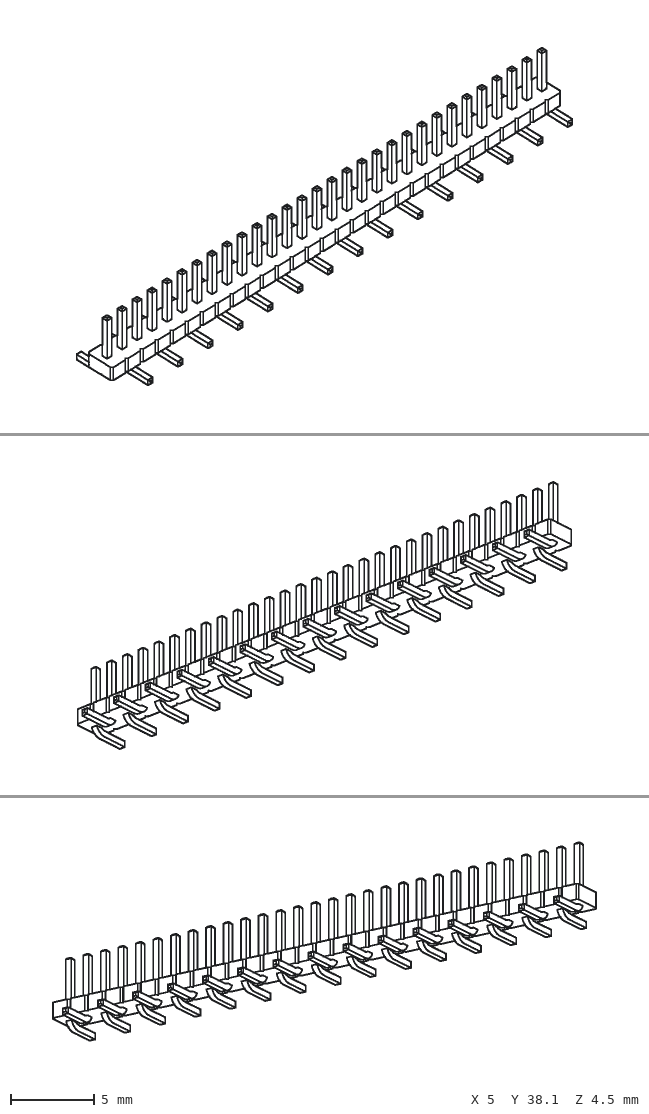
import cadquery as cq

pin_count = 30
pitch = 1.27
row_length = pin_count * pitch

wire = 0.4
half_wire = wire / 2
tip_length = 0.1
tip_width = 0.2
pin_top = 4.5
foot_reach = 2.5
bend_inner_radius = 0.4
bend_outer_radius = bend_inner_radius + wire

body_width = 2.1
body_height = 1.0
body_bottom = 0.5
corner_chamfer = pitch / 10


def make_body_segment():
    """One pitch of the body, with chamfered upright edges that leave V notches between neighbours."""
    return (
        cq.Workplane("XY")
        .workplane(offset=body_bottom)
        .rect(body_width, pitch)
        .extrude(body_height)
        .edges("|Z")
        .chamfer(corner_chamfer)
    )


def make_tip():
    """Tapered wire end that starts at the origin and points along +Z."""
    return (
        cq.Workplane("XY")
        .rect(wire, wire)
        .workplane(offset=tip_length)
        .rect(tip_width, tip_width)
        .loft()
    )


def make_pin():
    """L-shaped wire with an upright post at the origin and a foot that points to -X."""
    post_end = pin_top - tip_length
    foot_end = -(foot_reach - tip_length)
    bend_x = -half_wire - bend_inner_radius
    path = (
        cq.Workplane("XZ")
        .moveTo(foot_end, half_wire)
        .lineTo(bend_x, half_wire)
        .radiusArc((0, bend_outer_radius), -(bend_inner_radius + half_wire))
        .lineTo(0, post_end)
    )
    wire_body = cq.Workplane("YZ", origin=(foot_end, 0, half_wire)).rect(wire, wire).sweep(path)
    post_tip = make_tip().translate((0, 0, post_end))
    foot_tip = make_tip().rotate((0, 0, 0), (0, 1, 0), -90).translate((foot_end, 0, half_wire))
    return wire_body.union(post_tip).union(foot_tip)


segment = make_body_segment()
left_pin = make_pin()
right_pin = left_pin.rotate((0, 0, 0), (0, 0, 1), 180)

first_y = (pitch - row_length) / 2
result = cq.Workplane("XY")
for index in range(pin_count):
    pin = left_pin if index % 2 == 0 else right_pin
    position = segment.union(pin)
    result = result.union(position.translate((0, first_y + index * pitch, 0)))
result = result.clean()